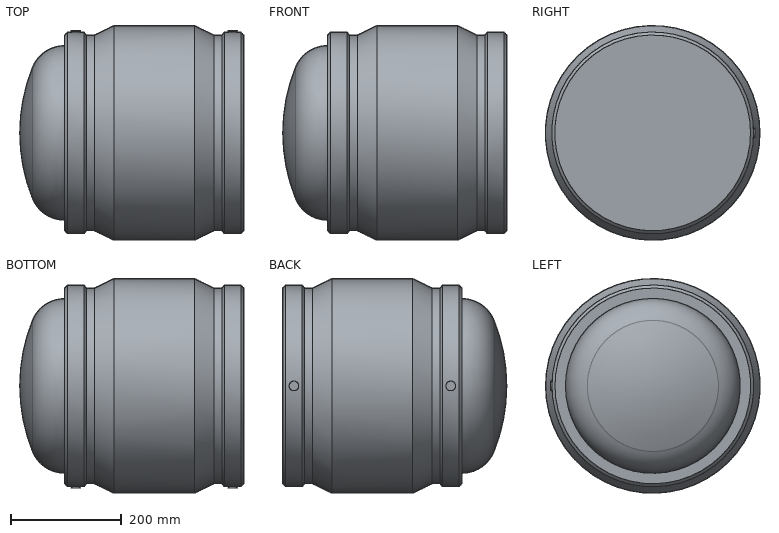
import cadquery as cq
import math

total_length = 404.0
shoulder_x = 81.0
belly_radius = 387.0 / 2
ring_radius = 363.5 / 2
neck_radius = 352.8 / 2
end_chamfer = ring_radius - neck_radius
ring_width = 35.0
groove_chamfer = 4.5
neck_width = 14.0
cone_length = 35.0

dome_radius = 315.0 / 2
crown_radius = 2 * dome_radius
knuckle_radius = 0.4 * dome_radius

button_tip_diameter = 17.5
button_base_diameter = 13.7
button_height = 3.0
button_embed = 4.0


def make_body():
    ring_end = shoulder_x + ring_width
    neck_start = ring_end + groove_chamfer
    neck_end = neck_start + neck_width
    belly_start = neck_end + cone_length
    half_profile = [
        (shoulder_x, 0),
        (shoulder_x, neck_radius),
        (shoulder_x + end_chamfer, ring_radius),
        (ring_end, ring_radius),
        (neck_start, neck_radius),
        (neck_end, neck_radius),
        (belly_start, belly_radius),
    ]
    mirrored = [(shoulder_x + total_length - x, r) for x, r in reversed(half_profile)]
    profile = cq.Workplane("XY").polyline(half_profile + mirrored).close()
    return profile.revolve(360, (0, 0, 0), (1, 0, 0))


def make_dome():
    knuckle_offset = dome_radius - knuckle_radius
    crown_angle = math.asin(knuckle_offset / (crown_radius - knuckle_radius))
    knuckle_x = crown_radius - (crown_radius - knuckle_radius) * math.cos(crown_angle)

    def crown_point(angle):
        return (crown_radius * (1 - math.cos(angle)), crown_radius * math.sin(angle))

    knuckle_mid_angle = (crown_angle + math.pi / 2) / 2
    knuckle_mid = (
        knuckle_x - knuckle_radius * math.cos(knuckle_mid_angle),
        knuckle_offset + knuckle_radius * math.sin(knuckle_mid_angle),
    )
    profile = (
        cq.Workplane("XY")
        .moveTo(0, 0)
        .threePointArc(crown_point(crown_angle / 2), crown_point(crown_angle))
        .threePointArc(knuckle_mid, (knuckle_x, dome_radius))
        .lineTo(knuckle_x, 0)
        .close()
    )
    return profile.revolve(360, (0, 0, 0), (1, 0, 0))


def make_button(x):
    toward_y = cq.Vector(0, 1, 0)
    base_radius = button_base_diameter / 2
    stem = cq.Solid.makeCylinder(
        base_radius, button_embed, cq.Vector(x, ring_radius - button_embed, 0), toward_y
    )
    flare = cq.Solid.makeCone(
        base_radius, button_tip_diameter / 2, button_height, cq.Vector(x, ring_radius, 0), toward_y
    )
    return cq.Workplane("XY").add(stem).union(cq.Workplane("XY").add(flare))


result = make_body().union(make_dome())

ring_middle = (end_chamfer + ring_width) / 2
for button_x in (shoulder_x + ring_middle, total_length - ring_middle):
    result = result.union(make_button(button_x))